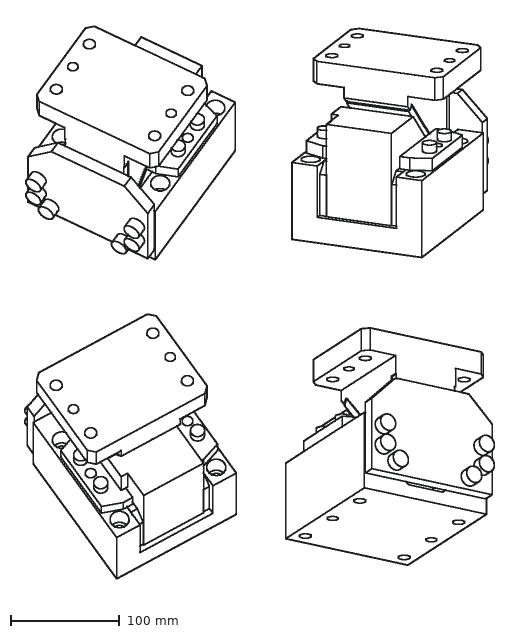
import cadquery as cq
import math


SIDES = (-1, 1)

base_width = 130
base_length = 145
base_height = 75
channel_half_width = 39.5
channel_floor = 25
groove_half_width = 22
groove_floor = 12.5
groove_corner_radius = 6
groove_length = 120

hole_row_x = 52.5
mount_hole_ys = (30, 130)
mount_hole_diameter = 11
counterbore_diameter = 17.5
counterbore_depth = 20
dowel_diameter = 10

front_plate_half_width = 64
front_plate_thickness = 12
front_plate_bottom = 15
front_plate_top = 110
front_plate_chamfer = 25
front_head_diameter = 16
front_head_height = 10
front_head_points = ((hole_row_x, 60), (hole_row_x, 40), (39, 26.7))

retainer_inner_x = 33.5
retainer_outer_x = 63
retainer_taper_x = 43.5
retainer_length = 85
retainer_middle_y = 80
retainer_thickness = 12
retainer_taper_angle = 20
retainer_head_diameter = 13
retainer_head_height = 8
retainer_head_offset = 17.5

slide_half_width = 32.5
slide_back = 140
slide_top = 115
slide_toe = 5
slope_offset = 26
flange_back = 139
flange_chamfer = 10
lug_back = 112
lug_bottom = 90

top_plate_length = 100
top_plate_thickness = 22
top_plate_chamfer = 6
unit_height = 160
plate_screw_diameter = 11
plate_screw_ys = (20, 80)
plate_dowel_diameter = 9.5
plate_dowel_y = 50
wedge_half_width = 32
wedge_bottom = 40
wedge_slope_offset = 28
pad_half_width = 31
slope_pad_offset = 36.5
slope_pad_end = 218
front_pad_thickness = 8
front_pad_top = 120


def block(x_min, x_max, y_min, y_max, z_min, z_max):
    size = (x_max - x_min, y_max - y_min, z_max - z_min)
    return cq.Workplane("XY").box(*size, centered=False).translate((x_min, y_min, z_min))


def side_profile(points, x_min, x_max):
    """Extrude an outline of (Y, Z) points along X."""
    return cq.Workplane("YZ").workplane(offset=x_min).polyline(points).close().extrude(x_max - x_min)


def cylinder(x, y, z_min, z_max, diameter):
    return cq.Workplane("XY", origin=(x, y, z_min)).circle(diameter / 2).extrude(z_max - z_min)


def make_front_plate():
    plate = block(
        -front_plate_half_width, front_plate_half_width,
        -front_plate_thickness, 0,
        front_plate_bottom, front_plate_top,
    )
    plate = plate.faces(">Z").edges("|Y").chamfer(front_plate_chamfer)
    points = [(side * x, z) for side in SIDES for x, z in front_head_points]
    heads = (
        cq.Workplane("XZ", origin=(0, -front_plate_thickness, 0))
        .pushPoints(points)
        .circle(front_head_diameter / 2)
        .extrude(front_head_height)
    )
    return plate.union(heads)


def make_retainer(side):
    """Tapered plate with two screw heads, on top of the base."""
    end = retainer_length / 2
    taper = (retainer_outer_x - retainer_taper_x) * math.tan(math.radians(retainer_taper_angle))
    outline = [
        (retainer_inner_x, -end),
        (retainer_taper_x, -end),
        (retainer_outer_x, taper - end),
        (retainer_outer_x, end - taper),
        (retainer_taper_x, end),
        (retainer_inner_x, end),
    ]
    retainer = (
        cq.Workplane("XY", origin=(0, retainer_middle_y, base_height))
        .polyline([(side * x, y) for x, y in outline])
        .close()
        .extrude(retainer_thickness)
    )
    top = base_height + retainer_thickness
    for offset in (-retainer_head_offset, retainer_head_offset):
        y = retainer_middle_y + offset
        head = cylinder(side * hole_row_x, y, top, top + retainer_head_height, retainer_head_diameter)
        retainer = retainer.union(head)
    return retainer


def make_base():
    body = block(-base_width / 2, base_width / 2, 0, base_length, 0, base_height)
    channel = block(-channel_half_width, channel_half_width, 0, base_length, channel_floor, base_height)
    groove = block(-groove_half_width, groove_half_width, 0, groove_length, groove_floor, channel_floor)
    groove = groove.faces("<Z").edges("|Y").fillet(groove_corner_radius)
    body = body.cut(channel).cut(groove).union(make_front_plate())
    for side in SIDES:
        x = side * hole_row_x
        body = body.union(make_retainer(side))
        counterbore_floor = base_height - counterbore_depth
        for y in mount_hole_ys:
            body = body.cut(cylinder(x, y, 0, base_height, mount_hole_diameter))
            body = body.cut(cylinder(x, y, counterbore_floor, base_height, counterbore_diameter))
        dowel_top = base_height + retainer_thickness
        body = body.cut(cylinder(x, retainer_middle_y, 0, dowel_top, dowel_diameter))
    return body


def make_slide():
    toe = (slide_toe, channel_floor)
    toe_top = (slide_toe, slide_toe + slope_offset)
    body = side_profile(
        [toe, toe_top, (slide_top - slope_offset, slide_top), (slide_back, slide_top), (slide_back, channel_floor)],
        -slide_half_width, slide_half_width,
    )
    flange = side_profile(
        [
            toe,
            toe_top,
            (base_height - slope_offset, base_height),
            (flange_back - flange_chamfer, base_height),
            (flange_back, base_height - flange_chamfer),
            (flange_back, channel_floor),
        ],
        -channel_half_width, channel_half_width,
    )
    lug = side_profile(
        [
            (lug_bottom - slope_offset, lug_bottom),
            (slide_top - slope_offset, slide_top),
            (lug_back, slide_top),
            (lug_back, lug_bottom),
        ],
        0, channel_half_width,
    )
    return body.union(flange).union(lug)


def make_top_plate():
    plate = block(
        -base_width / 2, base_width / 2,
        0, top_plate_length,
        unit_height - top_plate_thickness, unit_height,
    )
    plate = plate.edges("|Z").chamfer(top_plate_chamfer)
    for side in SIDES:
        x = side * hole_row_x
        for y in plate_screw_ys:
            plate = plate.cut(cylinder(x, y, 0, unit_height, plate_screw_diameter))
        plate = plate.cut(cylinder(x, plate_dowel_y, 0, unit_height, plate_dowel_diameter))
    return plate


def make_driver():
    wedge_top = unit_height - top_plate_thickness
    wedge = side_profile(
        [
            (0, wedge_bottom),
            (wedge_bottom - wedge_slope_offset, wedge_bottom),
            (top_plate_length, top_plate_length + wedge_slope_offset),
            (top_plate_length, wedge_top),
            (0, wedge_top),
        ],
        -wedge_half_width, wedge_half_width,
    )
    pad_end_outer_y = (slope_pad_end - slope_offset) / 2
    pad_end_inner_y = (slope_pad_end - slope_pad_offset) / 2
    slope_pad_outline = [
        (wedge_bottom - slope_offset, wedge_bottom),
        (pad_end_outer_y, pad_end_outer_y + slope_offset),
        (pad_end_inner_y, pad_end_inner_y + slope_pad_offset),
        (wedge_bottom - slope_pad_offset, wedge_bottom),
    ]
    front_pad_outline = [
        (0, wedge_bottom),
        (front_pad_thickness, wedge_bottom),
        (front_pad_thickness, front_pad_top),
        (0, front_pad_top),
    ]
    for outline in (slope_pad_outline, front_pad_outline):
        wedge = wedge.cut(side_profile(outline, -wedge_half_width, wedge_half_width))
    for outline in (slope_pad_outline, front_pad_outline):
        wedge = wedge.union(side_profile(outline, -pad_half_width, pad_half_width))
    return wedge.union(make_top_plate())


base = make_base()
slide = make_slide()
driver = make_driver()

result = cq.Compound.makeCompound([base.val(), slide.val(), driver.val()])